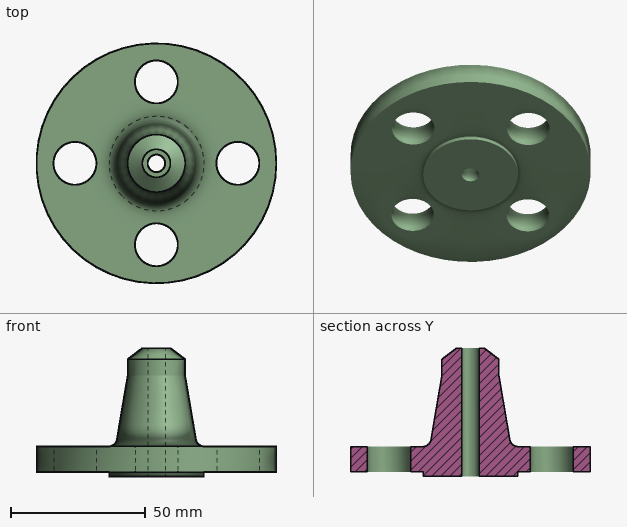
import cadquery as cq


flange_diameter = 88.9
flange_thickness = 9.6
raised_face_diameter = 35.1
raised_face_height = 1.6
overall_height = 47.56

bolt_circle_diameter = 60.3
bolt_hole_diameter = 15.8
bolt_hole_count = 4

hub_base_diameter = 30.2
hub_fillet_radius = 3.0
weld_end_diameter = 21.3
weld_end_length = 6.1
bevel_height = 4.1
weld_land_diameter = 10.4
bore_diameter = 6.4

flange_top_z = raised_face_height + flange_thickness
bevel_start_z = overall_height - bevel_height
taper_top_z = bevel_start_z - weld_end_length


def make_body():
    """Revolve half of the cross-section into the solid flange and hub."""
    half_section = [
        (0, 0),
        (raised_face_diameter / 2, 0),
        (raised_face_diameter / 2, raised_face_height),
        (flange_diameter / 2, raised_face_height),
        (flange_diameter / 2, flange_top_z),
        (hub_base_diameter / 2, flange_top_z),
        (weld_end_diameter / 2, taper_top_z),
        (weld_end_diameter / 2, bevel_start_z),
        (weld_land_diameter / 2, overall_height),
        (0, overall_height),
    ]
    outline = cq.Workplane("XZ").polyline(half_section).close()
    return outline.revolve(360, (0, 0, 0), (0, 1, 0))


def blend_hub(body):
    """Fillet the circle where the hub taper meets the flange top."""
    reach = hub_base_diameter
    margin = raised_face_height / 2
    hub_base_edge = cq.selectors.BoxSelector(
        (-reach, -reach, flange_top_z - margin),
        (reach, reach, flange_top_z + margin),
        boundingbox=True,
    )
    return body.edges(hub_base_edge).fillet(hub_fillet_radius)


def make_bore():
    """Cylinder along the axis through the full height."""
    return cq.Workplane("XY").circle(bore_diameter / 2).extrude(overall_height)


def make_bolt_holes():
    """Ring of cylinders through the flange disc."""
    centers = cq.Workplane("XY").polarArray(bolt_circle_diameter / 2, 0, 360, bolt_hole_count)
    return centers.circle(bolt_hole_diameter / 2).extrude(flange_top_z)


result = blend_hub(make_body()).cut(make_bore()).cut(make_bolt_holes())